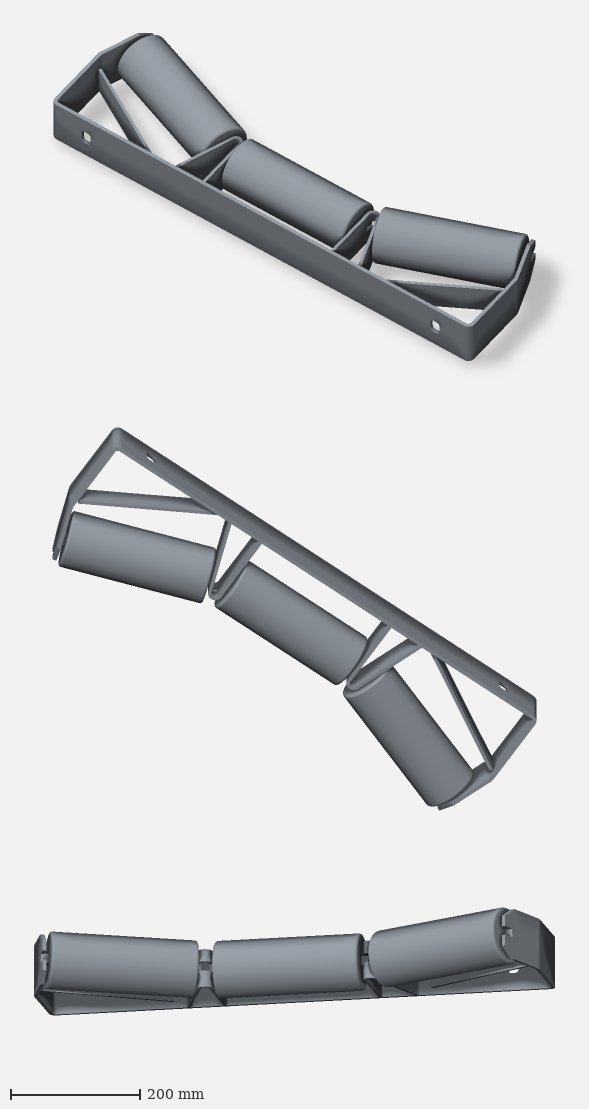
import cadquery as cq
import math

FRAME_LENGTH = 800.0
FRAME_HEIGHT = 80.0
FRAME_PLATE = 6.0
CORNER_RADIUS = 11.0
ELBOW_RADIUS = 14.0
TROUGH_ANGLE = 20.0
ELBOW_Y = 125.5
ARM_LENGTH = 100.0
ARM_CHAMFER_LENGTH = 28.0
ARM_CHAMFER_HEIGHT = 17.0

MOUNT_HOLE_SPACING = 666.0
MOUNT_HOLE_WIDTH = 17.0
MOUNT_HOLE_HEIGHT = 25.0
MOUNT_HOLE_CORNER = 6.0

BRACKET_PLATE = 5.0
BRACKET_HEIGHT = 60.0
BRACKET_LEG_X = 120.0
BRACKET_TOP_Y = 127.0
BRACKET_OUTER_RADIUS = 11.0
BRACKET_INNER_RADIUS = BRACKET_OUTER_RADIUS - BRACKET_PLATE

BRACE_PLATE = 5.0
BRACE_ANGLE = 30.0
BRACE_BOTTOM_Z = 10.0
BRACE_TOP_Z = 58.0
BRACE_FOOT_X = 205.0

DRUM_DIAMETER = 89.0
DRUM_LENGTH = 230.0
DRUM_FILLET = 4.0
SPINDLE_WIDTH = 18.0
SPINDLE_THICKNESS = 14.0
SPINDLE_CORNER = 3.5
SPINDLE_LENGTH = 2 * (BRACKET_LEG_X + BRACKET_PLATE)
SLOT_OVERRUN = BRACKET_INNER_RADIUS
SLOT_DEPTH = 100.0

CENTRE_ROLLER_Y = 99.0
CENTRE_ROLLER_Z = 33.31
SIDE_ROLLER_X = 258.54
SIDE_ROLLER_Y = 148.67
SIDE_ROLLER_Z = 36.84
SIDE_DIP_ANGLE = 1.61
SIDE_DRUM_OFFSET = 2.6

TROUGH = math.radians(TROUGH_ANGLE)
HALF_LENGTH = FRAME_LENGTH / 2
ARM_TIP_Y = ELBOW_Y + ARM_LENGTH * math.cos(TROUGH)


def place_centre(body):
    """Move a body built about the X axis onto the centre roller axis."""
    return body.translate((0, CENTRE_ROLLER_Y, CENTRE_ROLLER_Z))


def place_left(body):
    """Move a body built about the X axis onto the left roller axis."""
    dipped = body.rotate((0, 0, 0), (0, 1, 0), SIDE_DIP_ANGLE)
    turned = dipped.rotate((0, 0, 0), (0, 0, 1), -TROUGH_ANGLE)
    return turned.translate((-SIDE_ROLLER_X, SIDE_ROLLER_Y, SIDE_ROLLER_Z))


def mirror_x(body):
    return body.mirror("YZ")


def make_roller(drum_offset):
    """Roller along X, centred on its spindle, with the drum shifted by drum_offset."""
    drum = (
        cq.Workplane("YZ")
        .circle(DRUM_DIAMETER / 2)
        .extrude(DRUM_LENGTH)
        .edges()
        .fillet(DRUM_FILLET)
        .translate((drum_offset - DRUM_LENGTH / 2, 0, 0))
    )
    spindle = (
        cq.Workplane("XY")
        .box(SPINDLE_LENGTH, SPINDLE_WIDTH, SPINDLE_THICKNESS)
        .edges("|X and <Y")
        .fillet(SPINDLE_CORNER)
    )
    return drum.union(spindle)


def make_spindle_slot():
    """Cutter that seats a spindle and stays open toward +Y."""
    length = SPINDLE_LENGTH + 2 * SLOT_OVERRUN
    return (
        cq.Workplane("XY")
        .box(length, SLOT_DEPTH, SPINDLE_THICKNESS)
        .edges("|X and <Y")
        .fillet(SPINDLE_CORNER)
        .translate((0, (SLOT_DEPTH - SPINDLE_WIDTH) / 2, 0))
    )


def fillet_upright_edges(body, x, y, radius):
    """Round the upright edges at (x, y) and at (-x, y)."""
    for edge_x in (-x, x):
        nearest = cq.selectors.NearestToPointSelector((edge_x, y, FRAME_HEIGHT / 2))
        body = body.edges("|Z").edges(nearest).fillet(radius)
    return body


def make_frame_strip():
    """Bent plate: base, two sides and two inward arms."""
    tip_x = HALF_LENGTH - ARM_LENGTH * math.sin(TROUGH)
    inner_x = HALF_LENGTH - FRAME_PLATE
    inner_elbow_y = ELBOW_Y - FRAME_PLATE * math.tan(TROUGH / 2)
    right_side = [
        (HALF_LENGTH, 0),
        (HALF_LENGTH, ELBOW_Y),
        (tip_x, ARM_TIP_Y),
        (tip_x - FRAME_PLATE * math.cos(TROUGH), ARM_TIP_Y - FRAME_PLATE * math.sin(TROUGH)),
        (inner_x, inner_elbow_y),
        (inner_x, FRAME_PLATE),
    ]
    left_side = [(-x, y) for x, y in reversed(right_side)]
    strip = cq.Workplane("XY").polyline(right_side + left_side).close().extrude(FRAME_HEIGHT)

    strip = fillet_upright_edges(strip, HALF_LENGTH, 0, CORNER_RADIUS)
    strip = fillet_upright_edges(strip, inner_x, FRAME_PLATE, CORNER_RADIUS - FRAME_PLATE)
    strip = fillet_upright_edges(strip, HALF_LENGTH, ELBOW_Y, ELBOW_RADIUS)
    return fillet_upright_edges(strip, inner_x, inner_elbow_y, ELBOW_RADIUS - FRAME_PLATE)


def make_arm_chamfer():
    """Wedge that trims the lower corner of both arm tips."""
    start_y = ARM_TIP_Y - ARM_CHAMFER_LENGTH * math.cos(TROUGH)
    return (
        cq.Workplane("YZ")
        .polyline([(ARM_TIP_Y, 0), (ARM_TIP_Y, ARM_CHAMFER_HEIGHT), (start_y, 0)])
        .close()
        .extrude(HALF_LENGTH, both=True)
    )


def make_mount_holes():
    return (
        cq.Workplane("XZ", origin=(0, 0, FRAME_HEIGHT / 2))
        .rarray(MOUNT_HOLE_SPACING, 1, 2, 1)
        .rect(MOUNT_HOLE_WIDTH, MOUNT_HOLE_HEIGHT)
        .extrude(-FRAME_PLATE)
        .edges("|Y")
        .fillet(MOUNT_HOLE_CORNER)
    )


def make_frame():
    lower_chamfer = make_arm_chamfer()
    upper_chamfer = lower_chamfer.mirror("XY", (0, 0, FRAME_HEIGHT / 2))
    left_slot = place_left(make_spindle_slot())
    return (
        make_frame_strip()
        .cut(lower_chamfer)
        .cut(upper_chamfer)
        .cut(make_mount_holes())
        .cut(left_slot)
        .cut(mirror_x(left_slot))
    )


def make_left_bracket():
    """Hairpin plate: upright leg, round crest and a leg leaning with the side roller."""
    crest_x = -BRACKET_LEG_X - BRACKET_OUTER_RADIUS
    crest_y = BRACKET_TOP_Y - BRACKET_OUTER_RADIUS
    crest_mid_angle = (math.pi - TROUGH) / 2

    def crest_point(radius, angle):
        return (crest_x + radius * math.cos(angle), crest_y + radius * math.sin(angle))

    def leaning_foot(top):
        return (top[0] - (top[1] - FRAME_PLATE) * math.tan(TROUGH), FRAME_PLATE)

    outer_top = crest_point(BRACKET_OUTER_RADIUS, math.pi - TROUGH)
    inner_top = crest_point(BRACKET_INNER_RADIUS, math.pi - TROUGH)
    hairpin = (
        cq.Workplane("XY")
        .moveTo(-BRACKET_LEG_X, FRAME_PLATE)
        .lineTo(-BRACKET_LEG_X, crest_y)
        .threePointArc(crest_point(BRACKET_OUTER_RADIUS, crest_mid_angle), outer_top)
        .lineTo(*leaning_foot(outer_top))
        .lineTo(*leaning_foot(inner_top))
        .lineTo(*inner_top)
        .threePointArc(
            crest_point(BRACKET_INNER_RADIUS, crest_mid_angle),
            crest_point(BRACKET_INNER_RADIUS, 0),
        )
        .lineTo(-BRACKET_LEG_X - BRACKET_PLATE, FRAME_PLATE)
        .close()
        .extrude(BRACKET_HEIGHT)
    )
    slot = make_spindle_slot()
    return hairpin.cut(place_left(slot)).cut(place_centre(slot))


def make_left_brace():
    """Square-ended flat bar touching the base plate and the left side."""
    angle = math.radians(BRACE_ANGLE)
    span = HALF_LENGTH - FRAME_PLATE - BRACE_FOOT_X
    length = (span - BRACE_PLATE * math.sin(angle)) / math.cos(angle)
    return (
        cq.Workplane("XY")
        .box(length, BRACE_PLATE, BRACE_TOP_Z - BRACE_BOTTOM_Z, centered=False)
        .translate((-length, 0, 0))
        .rotate((0, 0, 0), (0, 0, 1), -BRACE_ANGLE)
        .translate((-BRACE_FOOT_X, FRAME_PLATE, BRACE_BOTTOM_Z))
    )


frame = make_frame()
centre_roller = place_centre(make_roller(0))
left_bodies = [
    make_left_bracket(),
    make_left_brace(),
    place_left(make_roller(SIDE_DRUM_OFFSET)),
]

bodies = [frame.solids().val(), centre_roller.solids().val()]
for left_body in left_bodies:
    bodies.append(left_body.solids().val())
    bodies.append(mirror_x(left_body).solids().val())

result = cq.Compound.makeCompound(bodies)